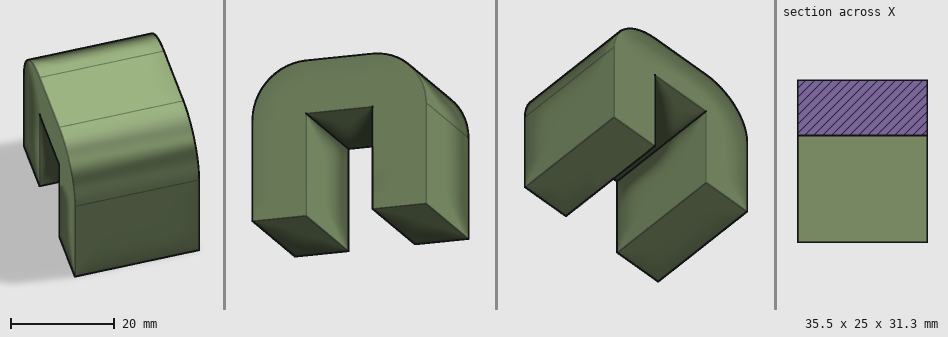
import cadquery as cq

width = 35.5
depth = 25.0
height = 31.3

leg_width = 11.0
slot_width = width - 2 * leg_width
slot_height = 20.6
shoulder_radius = leg_width

edge_radius = 0.1

block = (
    cq.Workplane("XY")
    .box(width, depth, height, centered=(True, True, False))
    .edges("|Y and >Z")
    .fillet(shoulder_radius)
)

slot = cq.Workplane("XY").box(slot_width, depth, slot_height, centered=(True, True, False))


arch = block.cut(slot)

result = arch.faces("<Y or >Y or <Z").edges().fillet(edge_radius)